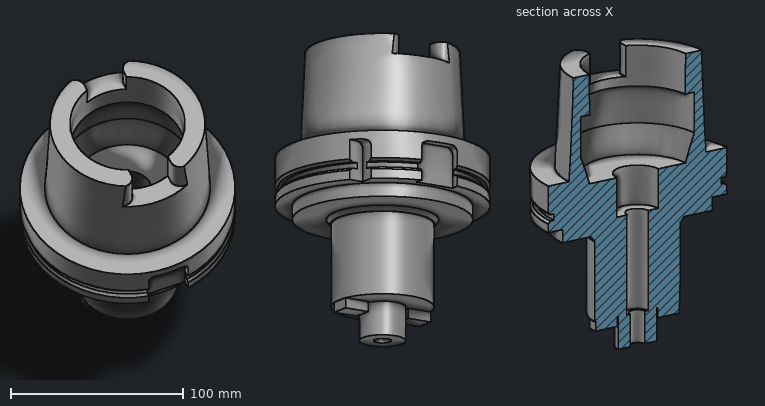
import cadquery as cq
total_height = 173.0
taper_length = 63.1
flange_height = 28.9
collar_height = 8.1
neck_height = 3.0
pilot_length = 20.2

taper_top_diameter = 90.1
taper_base_diameter = 96.2
flange_diameter = 125.0
collar_diameter = 105.0
neck_top_diameter = 65.4
neck_bottom_diameter = 60.9
shank_diameter = 59.9
pilot_diameter = 27.0

groove_diameter = 117.3
groove_width = 3.6
groove_chamfer = 1.5
groove_center_below_face = 19.9

mouth_diameter = 66.8
mouth_depth = 25.0
chamber_diameter = 79.2
chamber_wall_depth = 49.8
chamber_cone_height = 17.3
tube_seat_diameter = 28.7
tube_seat_length = 24.2
clearance_diameter = 14.5
screw_diameter = 10.0

notch_width = 24.7
notch_depth_minus_x = 12.1
notch_depth_plus_x = 19.0
tongue_half_length = 41.2
tongue_corner_radius = 6.0

recess_below_face = 4.8
recess_corner_radius = 4.5
pocket_width = 24.7
pocket_floor_offset = 56.0
corner_slot_floor_offset = 39.8
corner_slot_wall_offset = 39.1

key_width = 12.1
key_height = 6.0
key_start_offset = 13.8
key_end_offset = 29.4

flange_top = total_height - taper_length
flange_bottom = flange_top - flange_height
collar_bottom = flange_bottom - collar_height
neck_bottom = collar_bottom - neck_height
shank_bottom = pilot_length
groove_center = flange_top - groove_center_below_face
groove_bottom = groove_center - groove_width / 2
groove_top = groove_center + groove_width / 2
recess_top = flange_top - recess_below_face
recess_height = recess_top - flange_bottom
chamber_cone_top = total_height - chamber_wall_depth
chamber_floor = chamber_cone_top - chamber_cone_height
lip_bottom = total_height - mouth_depth
tube_seat_floor = chamber_floor - tube_seat_length


def revolve_profile(profile):
    """Turn a closed outline of (radius, height) points around the Z axis."""
    return cq.Workplane("XZ").polyline(profile).close().revolve(360, (0, 0), (0, 1))


def make_body():
    """Solid of revolution: taper, grooved flange, collar, conical neck, shank and pilot."""
    profile = [
        (0, 0),
        (pilot_diameter / 2, 0),
        (pilot_diameter / 2, shank_bottom),
        (shank_diameter / 2, shank_bottom),
        (shank_diameter / 2, neck_bottom),
        (neck_bottom_diameter / 2, neck_bottom),
        (neck_top_diameter / 2, collar_bottom),
        (collar_diameter / 2, collar_bottom),
        (collar_diameter / 2, flange_bottom),
        (flange_diameter / 2, flange_bottom),
        (flange_diameter / 2, groove_bottom - groove_chamfer),
        (flange_diameter / 2 - groove_chamfer, groove_bottom),
        (groove_diameter / 2, groove_bottom),
        (groove_diameter / 2, groove_top),
        (flange_diameter / 2 - groove_chamfer, groove_top),
        (flange_diameter / 2, groove_top + groove_chamfer),
        (flange_diameter / 2, flange_top),
        (taper_base_diameter / 2, flange_top),
        (taper_top_diameter / 2, total_height),
        (0, total_height),
    ]
    return revolve_profile(profile)


def make_bore():
    """Stepped through bore, as a solid of revolution around the Z axis."""
    profile = [
        (0, 0),
        (screw_diameter / 2, 0),
        (screw_diameter / 2, shank_bottom),
        (clearance_diameter / 2, shank_bottom),
        (clearance_diameter / 2, tube_seat_floor),
        (tube_seat_diameter / 2, tube_seat_floor),
        (tube_seat_diameter / 2, chamber_floor),
        (mouth_diameter / 2, chamber_floor),
        (chamber_diameter / 2, chamber_cone_top),
        (chamber_diameter / 2, lip_bottom),
        (mouth_diameter / 2, lip_bottom),
        (mouth_diameter / 2, total_height),
        (0, total_height),
    ]
    return revolve_profile(profile)


def make_notch(side, depth):
    """Drive notch on one X side; it leaves tongues with rounded ends on both sides of it."""
    outer = flange_diameter / 2
    block = cq.Workplane("XY").workplane(offset=total_height - depth)
    notch = block.center(side * outer / 2, 0).rect(outer, 2 * outer).extrude(depth)
    for y_side in (-1, 1):
        tongue_width = outer - notch_width / 2
        tongue_center_y = y_side * (notch_width + tongue_width) / 2
        tongue = (
            block.center(0, tongue_center_y)
            .rect(2 * tongue_half_length, tongue_width)
            .extrude(depth)
            .edges("|Z")
            .edges("<Y" if y_side > 0 else ">Y")
            .fillet(tongue_corner_radius)
        )
        notch = notch.cut(tongue)
    return notch


def make_recess(floor_offset, y_min, y_max):
    """Recess open towards +X and downwards, with rounded upper corners."""
    length = flange_diameter / 2
    return (
        cq.Workplane("XY")
        .box(length, y_max - y_min, recess_height, centered=False)
        .edges("|X and >Z")
        .fillet(recess_corner_radius)
        .translate((floor_offset, y_min, flange_bottom))
    )


def make_keys():
    """Two flat-ended keys below the shank, just clear of the pilot on the +Y and -Y sides."""
    key_length = key_end_offset - key_start_offset
    key_center = (key_start_offset + key_end_offset) / 2
    return (
        cq.Workplane("XY")
        .workplane(offset=shank_bottom - key_height)
        .pushPoints([(0, key_center), (0, -key_center)])
        .rect(key_width, key_length)
        .extrude(key_height)
    )


body = make_body().union(make_keys())
body = body.cut(make_bore())
body = body.cut(make_notch(-1, notch_depth_minus_x))
body = body.cut(make_notch(1, notch_depth_plus_x))

pocket = make_recess(pocket_floor_offset, -pocket_width / 2, pocket_width / 2)
corner_slot = make_recess(corner_slot_floor_offset, corner_slot_wall_offset, flange_diameter / 2)
for recess in (pocket, pocket.mirror("YZ"), corner_slot.mirror("YZ")):
    body = body.cut(recess)

result = body